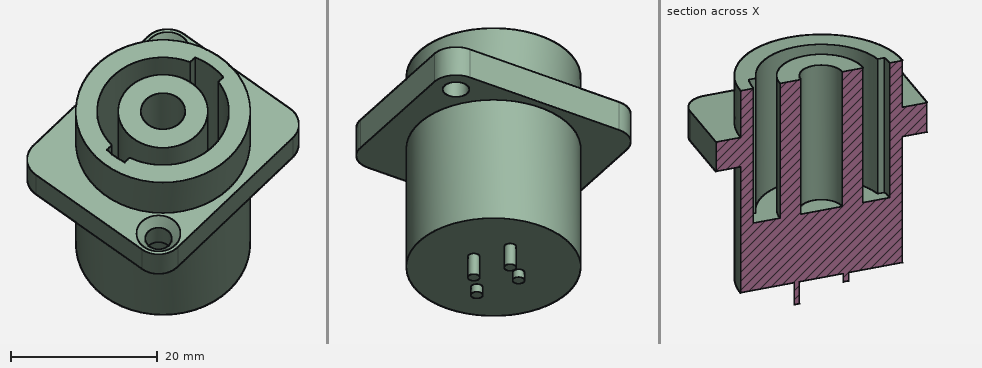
import cadquery as cq

barrel_radius = 11.9
total_height = 34.7
pin_long = 3.4
barrel_height = total_height - pin_long

flange_x = 26.0
flange_y = 31.0
flange_bottom = 19.45
flange_thickness = 4.6
flange_corner_radius = 3.47
flange_top = flange_bottom + flange_thickness

screw_x = 9.5
screw_y = 12.0
screw_diameter = 3.6
countersink_diameter = 6.0
countersink_angle = 90

socket_radius = 9.0
core_radius = 6.1
bore_radius = 3.02
socket_depth = 20.82
socket_bottom = barrel_height - socket_depth

keyway_radius = 10.0
wide_keyway = 5.05
narrow_keyway = 3.2

pin_diameter = 1.63
pin_short = 1.3
pin_inner_offset = 0.7
pin_side_x = 5.38
pin_end_y = 3.6
pins = [
    (-pin_side_x, pin_inner_offset, pin_long),
    (-pin_inner_offset, pin_end_y, pin_long),
    (pin_side_x, -pin_inner_offset, pin_short),
    (-pin_inner_offset, -pin_end_y, pin_short),
]


def cylinder(radius, bottom, height):
    return cq.Workplane("XY").workplane(offset=bottom).circle(radius).extrude(height)


def make_flange():
    plate = (
        cq.Workplane("XY")
        .workplane(offset=flange_bottom)
        .rect(flange_x, flange_y)
        .extrude(flange_thickness)
        .edges("|Z")
        .fillet(flange_corner_radius)
    )
    return (
        plate.faces(">Z")
        .workplane(origin=(0, 0, flange_top))
        .pushPoints([(-screw_x, screw_y), (screw_x, -screw_y)])
        .cskHole(screw_diameter, countersink_diameter, countersink_angle)
    )


def make_keyway(width, side):
    """Slot with a round outer wall, on the +Y (side = 1) or -Y (side = -1) half."""
    slot = (
        cq.Workplane("XY")
        .workplane(offset=socket_bottom)
        .center(0, side * keyway_radius / 2)
        .rect(width, keyway_radius)
        .extrude(socket_depth)
    )
    return slot.intersect(cylinder(keyway_radius, socket_bottom, socket_depth))


socket = (
    cylinder(socket_radius, socket_bottom, socket_depth)
    .union(make_keyway(wide_keyway, 1))
    .union(make_keyway(narrow_keyway, -1))
    .cut(cylinder(core_radius, socket_bottom, socket_depth))
)
bore = cylinder(bore_radius, socket_bottom, socket_depth)

result = cylinder(barrel_radius, 0, barrel_height).union(make_flange()).cut(socket).cut(bore)

for x, y, length in pins:
    pin = cylinder(pin_diameter / 2, -length, length).translate((x, y, 0))
    result = result.union(pin)